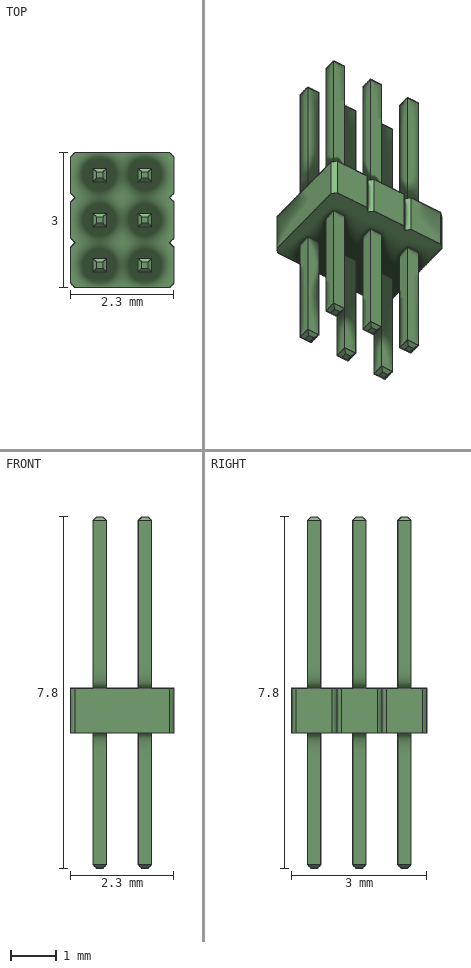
import cadquery as cq

pitch = 1.0
columns = 2
rows = 3

body_width = 2.3
body_length = rows * pitch
body_height = 1.0
body_chamfer = 0.1

pin_side = 0.3
pin_above_body = 3.8
pin_below_body = 3.0
pin_length = pin_below_body + body_height + pin_above_body
tip_chamfer = 0.08


def centred_positions(count):
    """Evenly pitched positions, centred on zero."""
    return [(i - (count - 1) / 2) * pitch for i in range(count)]


def make_body():
    """Row segments with cut corners, which leave V notches where they meet."""
    body = cq.Workplane("XY").box(
        body_width, body_length, body_height, centered=(True, True, False)
    )
    body = body.edges("|Z").chamfer(body_chamfer)
    half_width = body_width / 2
    for boundary in centred_positions(rows - 1):
        for side in (-1, 1):
            notch = (
                cq.Workplane("XY")
                .moveTo(side * half_width, boundary - body_chamfer)
                .lineTo(side * (half_width - body_chamfer), boundary)
                .lineTo(side * half_width, boundary + body_chamfer)
                .close()
                .extrude(body_height)
            )
            body = body.cut(notch)
    return body


def make_pin(x, y):
    """Square pin through the body, chamfered around both ends."""
    pin = cq.Workplane("XY").box(pin_side, pin_side, pin_length, centered=(True, True, False))
    pin = pin.faces("<Z or >Z").edges().chamfer(tip_chamfer)
    return pin.translate((x, y, -pin_below_body))


result = make_body()
for x in centred_positions(columns):
    for y in centred_positions(rows):
        result = result.union(make_pin(x, y))